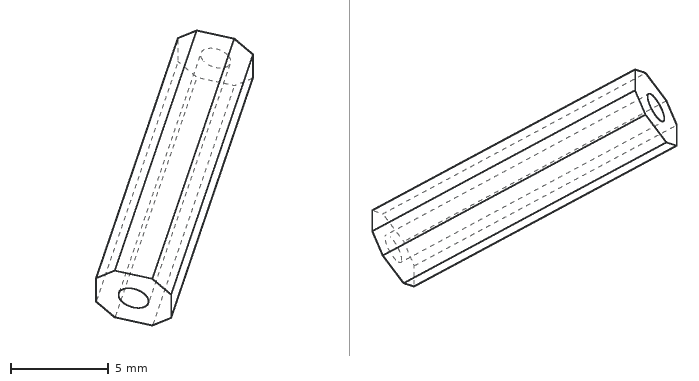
import cadquery as cq

length = 16.0
width = 4.0
bore_diameter = 1.6
corner_chamfer = width / 4

bar = cq.Workplane("XY").box(width, length, width).edges("|Y").chamfer(corner_chamfer)

bore = cq.Workplane("XZ").circle(bore_diameter / 2).extrude(length / 2, both=True)

result = bar.cut(bore)